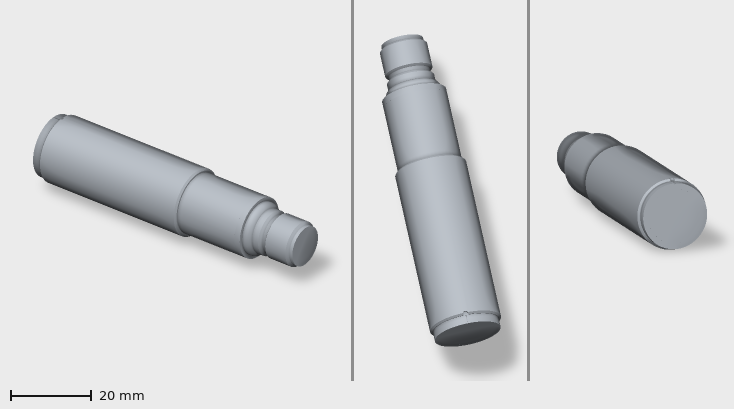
import cadquery as cq
import math


total_length = 78.0
cap_length = 2.2
barrel_shoulder_x = 44.5
connector_start_x = 62.2
flange_end_x = 63.8
boot_shoulder_x = 64.2
boot_neck_x = 66.1
groove_start_x = 67.9
groove_end_x = 70.1
tip_length = 0.9

barrel_diameter = 18.0
barrel_radius = barrel_diameter / 2
rear_radius = 8.1
cap_radius = 8.35
disc_radius = 6.95
window_radius = 6.0
boot_radius = 7.1
thread_radius = 6.0
groove_radius = 5.3

barrel_chamfer = 0.5
window_height = 6.8
groove_back_run = 0.5
groove_front_run = 0.8
tip_chamfer_run = 0.7
slit_width = 0.2
slit_depth = 0.2
notch_radius = 0.585
notch_center_x = 2.5


def revolve_about_x(profile):
    """Revolve a profile drawn as (x, radius) a full turn about the X axis."""
    return profile.close().revolve(360, (0, 0, 0), (1, 0, 0))


def face_plug(radius):
    """Round plug as long as the cap, starting at the sensing face."""
    return cq.Workplane("YZ").circle(radius).extrude(cap_length)


def make_barrel():
    """Housing with a thick front part, a thinner rear part and an index notch on top."""
    chamfered_radius = barrel_radius - barrel_chamfer
    profile = (
        cq.Workplane("XZ")
        .moveTo(cap_length, 0)
        .lineTo(cap_length, chamfered_radius)
        .lineTo(cap_length + barrel_chamfer, barrel_radius)
        .lineTo(barrel_shoulder_x - barrel_chamfer, barrel_radius)
        .lineTo(barrel_shoulder_x, chamfered_radius)
        .lineTo(barrel_shoulder_x, rear_radius)
        .lineTo(connector_start_x, rear_radius)
        .lineTo(connector_start_x, 0)
    )
    notch = (
        cq.Workplane("XY", origin=(notch_center_x, 0, cap_radius))
        .circle(notch_radius)
        .extrude(barrel_radius)
    )
    return revolve_about_x(profile).cut(notch)


def make_window():
    """Round window with flats at the top and bottom."""
    flats = cq.Workplane("YZ").rect(2 * window_radius, window_height).extrude(cap_length)
    return face_plug(window_radius).intersect(flats)


def make_disc(window):
    """Front disc with an opening for the window."""
    return face_plug(disc_radius).cut(window)


def make_cap():
    """Ring around the front disc, with a narrow marker slit along the top."""
    profile = (
        cq.Workplane("XZ")
        .moveTo(0, disc_radius)
        .lineTo(0, cap_radius)
        .lineTo(cap_length, cap_radius)
        .lineTo(cap_length, disc_radius)
    )
    slit = (
        cq.Workplane("XY", origin=(0, 0, cap_radius - slit_depth))
        .rect(2 * cap_length, slit_width)
        .extrude(cap_radius)
    )
    return revolve_about_x(profile).cut(slit)


def make_connector():
    """Plug connector: flange, rounded boot, groove, threaded sleeve and tip."""
    tip_start_x = total_length - tip_length

    run = boot_neck_x - boot_shoulder_x
    drop = boot_radius - thread_radius
    rounding_radius = (run**2 + drop**2) / (2 * drop)
    half_angle = math.asin(run / rounding_radius) / 2
    rounding_middle = (
        boot_shoulder_x + rounding_radius * math.sin(half_angle),
        boot_radius - rounding_radius * (1 - math.cos(half_angle)),
    )

    profile = (
        cq.Workplane("XY")
        .moveTo(connector_start_x, 0)
        .lineTo(connector_start_x, -rear_radius)
        .lineTo(flange_end_x, -rear_radius)
        .lineTo(flange_end_x, -boot_radius)
        .lineTo(boot_shoulder_x, -boot_radius)
        .threePointArc((rounding_middle[0], -rounding_middle[1]), (boot_neck_x, -thread_radius))
        .lineTo(groove_start_x, -thread_radius)
        .lineTo(groove_start_x + groove_front_run, -groove_radius)
        .lineTo(groove_end_x - groove_back_run, -groove_radius)
        .lineTo(groove_end_x, -thread_radius)
        .lineTo(tip_start_x - tip_chamfer_run, -thread_radius)
        .lineTo(tip_start_x, -groove_radius)
        .lineTo(total_length, -groove_radius)
        .lineTo(total_length, 0)
    )
    return revolve_about_x(profile)


barrel = make_barrel()
cap = make_cap()
window = make_window()
disc = make_disc(window)
connector = make_connector()

result = cq.Compound.makeCompound(
    [barrel.val(), cap.val(), disc.val(), window.val(), connector.val()]
)